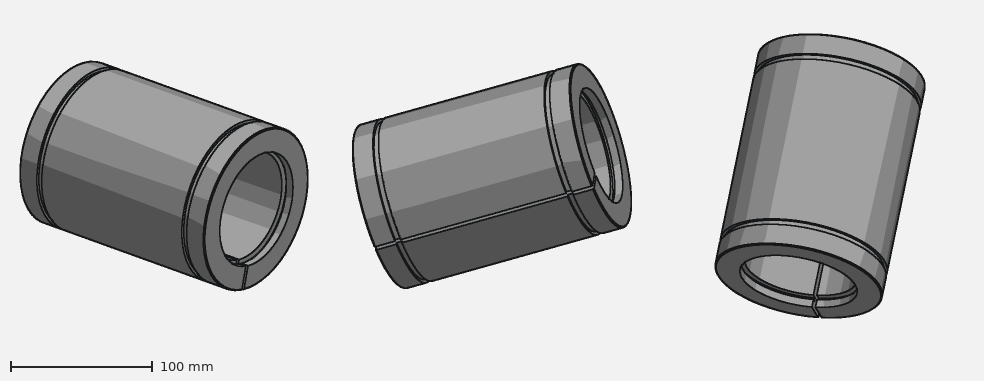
import cadquery as cq

length = 165.0
outer_diameter = 120.0
bore_diameter = 80.0
edge_chamfer = 0.8

recess_diameter = 84.2
recess_depth = 6.0

undercut_diameter = 90.0
undercut_width = 2.5

groove_diameter = 115.5
groove_width = 4.3
groove_inset = 15.7

slit_width = 2.6
slit_angle = 15.0


def cylinder(diameter, start, depth):
    """Solid cylinder on the X axis, running from x = start toward +X."""
    return cq.Workplane("YZ", origin=(start, 0, 0)).circle(diameter / 2).extrude(depth)


def groove(start):
    """Ring of material removed by one outer groove."""
    blank = cylinder(outer_diameter, start, groove_width)
    return blank.cut(cylinder(groove_diameter, start, groove_width))


def slit():
    """Flat cutter reaching from the axis past the outer surface."""
    cutter = cq.Workplane("XY").box(length, slit_width, outer_diameter, centered=(True, True, False))
    return cutter.rotate((0, 0, 0), (1, 0, 0), 180 - slit_angle)


left_end = -length / 2
right_end = length / 2

body = cylinder(outer_diameter, left_end, length).edges().chamfer(edge_chamfer)
body = body.cut(cylinder(bore_diameter, left_end, length))

for recess_start in (left_end, right_end - recess_depth):
    body = body.cut(cylinder(recess_diameter, recess_start, recess_depth))

for undercut_start in (left_end + recess_depth, right_end - recess_depth - undercut_width):
    body = body.cut(cylinder(undercut_diameter, undercut_start, undercut_width))

for groove_start in (left_end + groove_inset, right_end - groove_inset - groove_width):
    body = body.cut(groove(groove_start))

result = body.cut(slit())